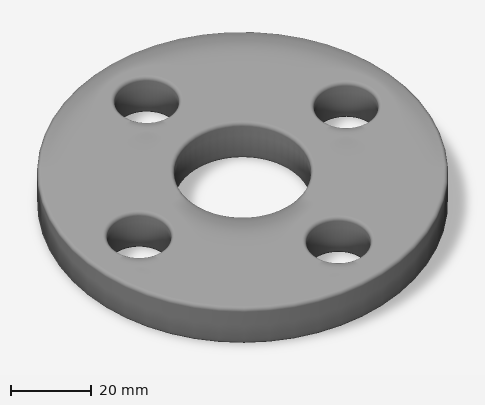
import cadquery as cq

outer_diameter = 102.0
thickness = 12.0

bore_diameter = 34.0
bolt_hole_diameter = 16.0
bolt_circle_diameter = 70.0
bolt_hole_count = 4

edge_radius = 1.0


def flange_disc():
    """Plain round disc standing on the XY plane."""
    return cq.Workplane("XY").circle(outer_diameter / 2).extrude(thickness)


def cut_bore(body):
    """Central bore through the full thickness."""
    return body.faces(">Z").workplane().hole(bore_diameter)


def cut_bolt_holes(body):
    """Bolt holes equally spaced on the bolt circle, the first on +X."""
    return (
        body.faces(">Z")
        .workplane()
        .polarArray(bolt_circle_diameter / 2, 0, 360, bolt_hole_count)
        .hole(bolt_hole_diameter)
    )


def round_rims(body):
    """Round the outer rim and all hole mouths on both flat faces."""
    return body.faces("|Z").edges().fillet(edge_radius)


result = round_rims(cut_bolt_holes(cut_bore(flange_disc())))